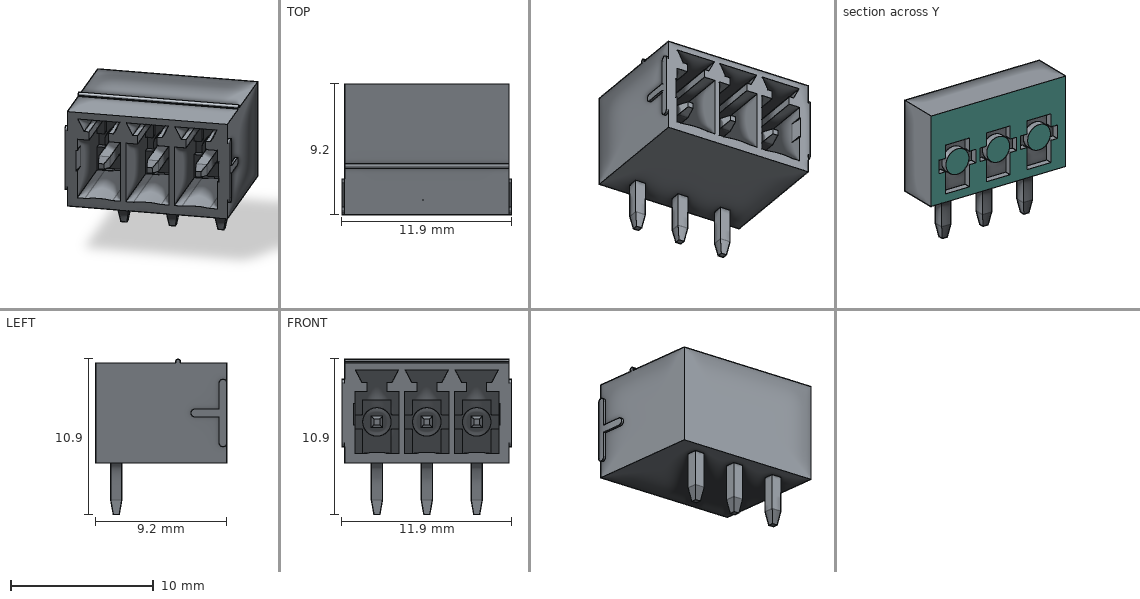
import cadquery as cq


overall_width = 11.9
tab_height = 0.18
body_width = overall_width - 2 * tab_height
body_depth = 9.2
body_height = 7.03

pitch = 3.5
contact_places = (-pitch, 0.0, pitch)
pin_size = 0.8
pin_z = 2.89
contact_tip_size = 0.4
contact_tip_y = 0.71
contact_taper = 1.0
leg_y = 7.76
leg_length = 3.6
leg_taper = 1.04
leg_tip_size = 0.43

partition = 0.39
cavity_width = pitch - partition
cavity_depth = 6.0
cavity_floor = 0.68
cavity_ceiling = 5.03
neck_width = 1.4
dovetail_floor = 5.65
dovetail_floor_width = 2.11
dovetail_top = 6.55
dovetail_top_width = 3.03
floor_crown = 0.08

collar_diameter = 2.0
cross_depth = 0.5
cross_top = 4.41
cross_arm_height = 1.0
cross_corner_radius = 0.07

relief_depth = 0.1
relief_length = 0.98
relief_bottom = 2.68
relief_top = 4.19

ridge_radius = 0.18
ridge_y = 3.43
ridge_neck_width = 0.32
ridge_neck_height = 0.08

tab_bar = 0.55
tab_length = 4.74
tab_reach = 2.52


def box_between(x_range, y_range, z_range):
    """Axis-aligned box given by its (low, high) limits."""
    limits = (x_range, y_range, z_range)
    sizes = [high - low for low, high in limits]
    corner = tuple(low for low, high in limits)
    return cq.Workplane("XY").box(*sizes, centered=False).translate(corner)


def plug_cavity():
    """Cavity with a crowned floor and a dovetail slot in its ceiling, centred on x = 0."""
    half_width = cavity_width / 2
    half_crown = collar_diameter / 2
    half_neck = neck_width / 2
    half_floor = dovetail_floor_width / 2
    half_top = dovetail_top_width / 2
    return (
        cq.Workplane("XZ")
        .moveTo(-half_width, cavity_floor)
        .lineTo(-half_crown, cavity_floor)
        .threePointArc((0, cavity_floor + floor_crown), (half_crown, cavity_floor))
        .lineTo(half_width, cavity_floor)
        .lineTo(half_width, cavity_ceiling)
        .lineTo(half_neck, cavity_ceiling)
        .lineTo(half_neck, dovetail_floor)
        .lineTo(half_floor, dovetail_floor)
        .lineTo(half_top, dovetail_top)
        .lineTo(-half_top, dovetail_top)
        .lineTo(-half_floor, dovetail_floor)
        .lineTo(-half_neck, dovetail_floor)
        .lineTo(-half_neck, cavity_ceiling)
        .lineTo(-half_width, cavity_ceiling)
        .close()
        .extrude(-cavity_depth)
    )


def cross_recess():
    """Cross sunk into the cavity's back wall, leaving a round collar about the pin."""
    y_range = (cavity_depth, cavity_depth + cross_depth)
    half_upright = collar_diameter / 2
    half_width = cavity_width / 2
    half_arm = cross_arm_height / 2
    upright = box_between((-half_upright, half_upright), y_range, (cavity_floor, cross_top))
    arms = box_between((-half_width, half_width), y_range, (pin_z - half_arm, pin_z + half_arm))
    margin = cross_corner_radius
    inner_corners = cq.selectors.BoxSelector(
        (-half_upright - margin, y_range[0], pin_z - half_arm - margin),
        (half_upright + margin, y_range[1], pin_z + half_arm + margin),
    )
    cross = upright.union(arms).edges("|Y").edges(inner_corners).fillet(cross_corner_radius)
    collar = (
        cq.Workplane("XZ", origin=(0, cavity_depth, pin_z))
        .circle(collar_diameter / 2)
        .extrude(-cross_depth)
    )
    return cross.cut(collar)


def wall_relief():
    """Shallow wedge in the right-hand wall of the last cavity, running out towards the back."""
    wall_x = pitch + cavity_width / 2
    return (
        cq.Workplane("XY", origin=(0, 0, relief_bottom))
        .moveTo(wall_x, 0)
        .lineTo(wall_x + relief_depth, 0)
        .lineTo(wall_x, relief_length)
        .close()
        .extrude(relief_top - relief_bottom)
    )


def side_tab():
    """T-shaped tab on the right-hand side, its stem pointing to the back."""
    middle_z = body_height / 2
    side = cq.Workplane("YZ", origin=(body_width / 2, 0, middle_z))
    bar = side.center(tab_bar / 2, 0).slot2D(tab_length, tab_bar, 90).extrude(tab_height)
    stem = side.center(tab_reach / 2, 0).slot2D(tab_reach, tab_bar).extrude(tab_height)
    stem_root = box_between(
        (body_width / 2, body_width / 2 + tab_height),
        (0, tab_bar / 2),
        (middle_z - tab_length / 2 + tab_bar / 2, middle_z + tab_length / 2 - tab_bar / 2),
    )
    return bar.union(stem.cut(stem_root))


def tapered_tip(plane, size, tip_size, length):
    """Square tip narrowing from size to tip_size along the plane's normal."""
    return (
        cq.Workplane(plane)
        .rect(size, size)
        .workplane(offset=length)
        .rect(tip_size, tip_size)
        .loft(ruled=True)
    )


def contact():
    """Bent square pin: one arm along the cavity, one leg below the housing."""
    half = pin_size / 2
    shoulder_y = contact_tip_y + contact_taper
    shoulder_z = leg_taper - leg_length
    arm = box_between((-half, half), (shoulder_y, leg_y + half), (pin_z - half, pin_z + half))
    leg = box_between((-half, half), (leg_y - half, leg_y + half), (shoulder_z, pin_z))
    arm_plane = cq.Plane((0, shoulder_y, pin_z), (1, 0, 0), (0, -1, 0))
    leg_plane = cq.Plane((0, leg_y, shoulder_z), (1, 0, 0), (0, 0, -1))
    arm_tip = tapered_tip(arm_plane, pin_size, contact_tip_size, contact_taper)
    leg_tip = tapered_tip(leg_plane, pin_size, leg_tip_size, leg_taper)
    return arm.union(leg).union(arm_tip).union(leg_tip)


def ridge():
    """Half-round bead on a slightly narrower neck, as long as the housing is wide."""
    half_neck = ridge_neck_width / 2
    return (
        cq.Workplane("YZ", origin=(-body_width / 2, ridge_y, body_height))
        .moveTo(-half_neck, 0)
        .lineTo(-half_neck, ridge_neck_height)
        .lineTo(-ridge_radius, ridge_neck_height)
        .threePointArc((0, ridge_neck_height + ridge_radius), (ridge_radius, ridge_neck_height))
        .lineTo(half_neck, ridge_neck_height)
        .lineTo(half_neck, 0)
        .close()
        .extrude(body_width)
    )


housing = box_between(
    (-body_width / 2, body_width / 2), (0, body_depth), (0, body_height)
).union(ridge())

for place in contact_places:
    housing = housing.cut(plug_cavity().translate((place, 0, 0)))
    housing = housing.cut(cross_recess().translate((place, 0, 0)))

housing = housing.cut(wall_relief()).cut(wall_relief().mirror("YZ"))
housing = housing.union(side_tab()).union(side_tab().mirror("YZ"))

result = housing
for place in contact_places:
    result = result.union(contact().translate((place, 0, 0)))